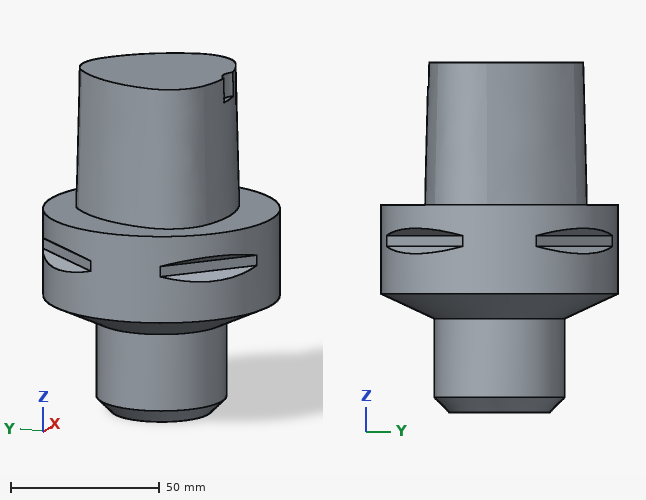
import cadquery as cq
import math

total_height = 118.0
shank_height = 48.0
flange_height = 30.0
cone_height = 8.4
flange_top = total_height - shank_height
flange_bottom = flange_top - flange_height
cone_bottom = flange_bottom - cone_height

flange_radius = 80.0 / 2
pilot_radius = 44.0 / 2
pilot_chamfer = 5.1

lobe_count = 3
lobe_radius = 16.5
lobe_offset = 13.0
side_radius = 46.6
taper_on_width = 1 / 20
taper_inset = shank_height * taper_on_width / 2

notch_count = 4
notch_middle = 57.8
notch_floor_distance = 35.6
notch_floor_height = 3.5
notch_wall_angle = 30.0
notch_clearance = 2.4

slot_radius = 7.1
slot_back = 22.0
slot_depth = 8.3


def polar(radius, angle):
    """Point at a radius and an angle in degrees about the axis."""
    return radius * math.cos(math.radians(angle)), radius * math.sin(math.radians(angle))


def turned_body():
    profile = [
        (0, 0),
        (pilot_radius - pilot_chamfer, 0),
        (pilot_radius, pilot_chamfer),
        (pilot_radius, cone_bottom),
        (flange_radius, flange_bottom),
        (flange_radius, flange_top),
        (0, flange_top),
    ]
    return cq.Workplane("XZ").polyline(profile).close().revolve(360, (0, 0), (0, 1))


def trilobe_section(plane, inset):
    """Closed section with one lobe pointing along +Y, shrunk evenly by the inset."""
    lobe_pitch = 360 / lobe_count
    half_pitch = math.radians(lobe_pitch / 2)
    across = lobe_offset * math.sin(half_pitch)
    along = math.sqrt((side_radius - lobe_radius) ** 2 - across**2)
    side_offset = along - lobe_offset * math.cos(half_pitch)
    joint_radius = side_radius - inset
    joint_across = joint_radius * across / (side_radius - lobe_radius)
    joint_along = joint_radius * along / (side_radius - lobe_radius) - side_offset
    joint_distance = math.hypot(joint_across, joint_along)
    joint_angle = lobe_pitch / 2 - math.degrees(math.atan2(joint_across, joint_along))
    lobe_tip = lobe_offset + lobe_radius - inset
    side_middle = side_radius - side_offset - inset

    section = plane.moveTo(*polar(joint_distance, 90 - joint_angle))
    for lobe in range(lobe_count):
        lobe_angle = 90 + lobe * lobe_pitch
        next_angle = lobe_angle + lobe_pitch
        section = section.threePointArc(
            polar(lobe_tip, lobe_angle),
            polar(joint_distance, lobe_angle + joint_angle),
        )
        section = section.threePointArc(
            polar(side_middle, lobe_angle + lobe_pitch / 2),
            polar(joint_distance, next_angle - joint_angle),
        )
    return section.close()


def shank():
    base = trilobe_section(cq.Workplane("XY").workplane(offset=flange_top), 0)
    top_plane = base.workplane(offset=shank_height)
    return trilobe_section(top_plane, taper_inset).loft(ruled=True)


def gripper_notch():
    """Cutter for one notch, facing +X and running along Y."""
    outer_distance = flange_radius + notch_clearance
    wall_rise = (outer_distance - notch_floor_distance) * math.tan(math.radians(notch_wall_angle))
    floor_half = notch_floor_height / 2
    outer_half = floor_half + wall_rise
    profile = [
        (notch_floor_distance, notch_middle - floor_half),
        (outer_distance, notch_middle - outer_half),
        (outer_distance, notch_middle + outer_half),
        (notch_floor_distance, notch_middle + floor_half),
    ]
    return cq.Workplane("XZ").polyline(profile).close().extrude(flange_radius, both=True)


def key_slot():
    return (
        cq.Workplane("XY")
        .workplane(offset=total_height - slot_depth)
        .center(0, -slot_back - slot_radius)
        .circle(slot_radius)
        .extrude(slot_depth)
    )


result = turned_body().union(shank()).cut(key_slot())
notch_pitch = 360 / notch_count
for notch in range(notch_count):
    notch_angle = (notch + 0.5) * notch_pitch
    result = result.cut(gripper_notch().rotate((0, 0, 0), (0, 0, 1), notch_angle))